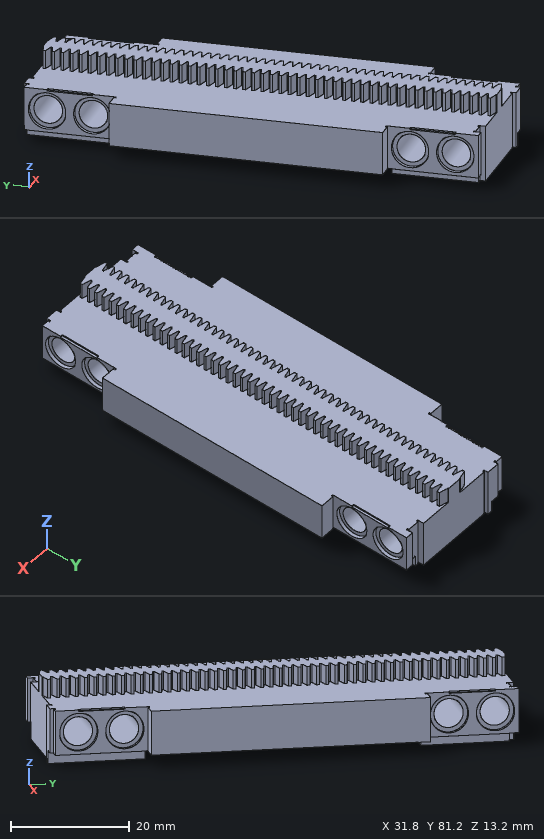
import cadquery as cq

total_length = 81.2
total_height = 13.2
body_width = 31.8
body_length = 80.1

foot_height = 2.3
body_top = 10.0
body_height = body_top - foot_height

arm_width = 25.4
wide_length = 48.2
foot_width = 18.4
foot_inner_y = 23.8

end_feature_inner_x = 8.2
tab_width = 2.7
notch_width = 2.9
notch_depth = 1.0

relief_width = 0.25
relief_depth = 0.3

hole_diameter = 5.0
counterbore_diameter = 6.6
counterbore_depth = 0.7
hole_outer_y = 36.0
hole_inner_y = 28.0
hole_z = (foot_height + body_top) / 2

edge_step_width = 0.5
edge_step_height = 0.25

tooth_count = 50
rack_tip_x = 3.3
rack_root_x = 1.55
tooth_tip_width = 0.5
tooth_gap_width = 0.25
tooth_pitch = body_length / tooth_count


def box(x_range, y_range, z_range):
    """Box between the given limits along each axis."""
    size = [high - low for low, high in (x_range, y_range, z_range)]
    corner = (x_range[0], y_range[0], z_range[0])
    return cq.Workplane("XY").box(*size, centered=False).translate(corner)


def with_half_turn(shape):
    """Shape together with its copy turned half a turn about Z."""
    return shape.union(shape.rotate((0, 0, 0), (0, 0, 1), 180))


def make_body():
    arms = cq.Workplane("XY").box(arm_width, body_length, body_height)
    wide_section = cq.Workplane("XY").box(body_width, wide_length, body_height)
    return arms.union(wide_section).translate((0, 0, hole_z))


def make_foot():
    half_width = foot_width / 2
    return box((-half_width, half_width), (-body_length / 2, -foot_inner_y), (0, foot_height))


def make_tab():
    """Tab on the -Y end, stepped to follow the cross-section of body and foot."""
    y_range = (-total_length / 2, -body_length / 2)
    upper = box(
        (end_feature_inner_x, end_feature_inner_x + tab_width), y_range, (foot_height, body_top)
    )
    lower = box((end_feature_inner_x, foot_width / 2), y_range, (0, foot_height))
    return upper.union(lower)


def end_cut(x_start, width, y_face, depth):
    """Full-height cut that goes into a face looking toward -Y."""
    return box((x_start, x_start + width), (y_face, y_face + depth), (0, body_top))


def make_end_cuts():
    """Notch and corner reliefs of the -Y end."""
    end_y = -body_length / 2
    notch_outer_x = -end_feature_inner_x - notch_width
    cuts = end_cut(notch_outer_x, notch_width, end_y, notch_depth)
    tab_outer_x = end_feature_inner_x + tab_width
    arm_side_x = arm_width / 2
    relief_places = [
        (notch_outer_x, end_y + notch_depth),
        (-end_feature_inner_x - relief_width, end_y + notch_depth),
        (end_feature_inner_x - relief_width, end_y),
        (tab_outer_x, end_y),
        (-arm_side_x - relief_width, -wide_length / 2),
        (arm_side_x, -wide_length / 2),
    ]
    for x_start, y_face in relief_places:
        cuts = cuts.union(end_cut(x_start, relief_width, y_face, relief_depth))
    return cuts


def x_cylinder(diameter, length, x_start, y):
    """Cylinder along +X at the height of the cross holes."""
    return (
        cq.Workplane("YZ", origin=(x_start, y, hole_z)).circle(diameter / 2).extrude(length)
    )


def make_side_cuts():
    """Through holes, counterbores and edge steps of the arm on the -Y end."""
    side_x = arm_width / 2
    cuts = cq.Workplane("XY")
    for y in (-hole_outer_y, -hole_inner_y):
        cuts = cuts.union(x_cylinder(hole_diameter, arm_width, -side_x, y))
        for x_start in (-side_x, side_x - counterbore_depth):
            cuts = cuts.union(x_cylinder(counterbore_diameter, counterbore_depth, x_start, y))
    for x_start in (-side_x, side_x - edge_step_width):
        step = box(
            (x_start, x_start + edge_step_width),
            (-hole_outer_y, -hole_inner_y),
            (body_top - edge_step_height, body_top),
        )
        cuts = cuts.union(step)
    return cuts


def make_rack():
    """Rack bar with trapezoidal teeth on both sides; each end is at the middle of a gap."""
    tip_half = tooth_tip_width / 2
    root_half = (tooth_pitch - tooth_gap_width) / 2
    right_side = [(rack_root_x, -body_length / 2)]
    for index in range(tooth_count):
        tooth_y = -body_length / 2 + (index + 0.5) * tooth_pitch
        right_side += [
            (rack_root_x, tooth_y - root_half),
            (rack_tip_x, tooth_y - tip_half),
            (rack_tip_x, tooth_y + tip_half),
            (rack_root_x, tooth_y + root_half),
        ]
    right_side.append((rack_root_x, body_length / 2))
    left_side = [(-x, y) for x, y in reversed(right_side)]
    rack_height = total_height - body_top
    return (
        cq.Workplane("XY", origin=(0, 0, body_top))
        .polyline(right_side + left_side)
        .close()
        .extrude(rack_height)
    )


ends = with_half_turn(make_foot().union(make_tab()))
cuts = with_half_turn(make_end_cuts().union(make_side_cuts()))
result = make_body().union(ends).cut(cuts).union(make_rack())